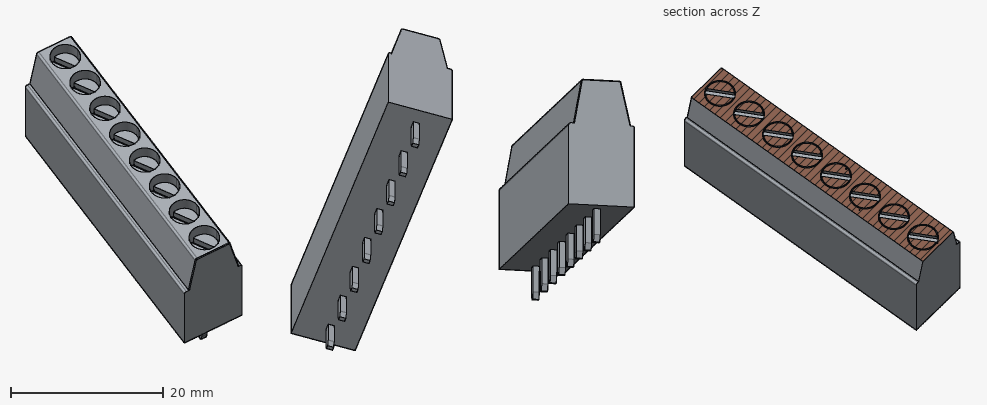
import cadquery as cq
import math

pole_count = 8
pitch = 5.0
length = pole_count * pitch
depth = 8.9
body_height = 16.9
shoulder_height = 10.9
edge_radius = 0.3

front_shoulder = 0.7
front_top_inset = 1.75
back_shoulder = 0.5
back_top_inset = 1.85

bevel = 0.1

well_diameter = 4.0
well_y = 0.15
well_flat_width = 0.45
screw_recess = 1.7

screw_diameter = 3.8
screw_head_height = 1.0
slot_width = 0.8
slot_angle = 30

pin_width = 1.0
pin_thickness = 0.85
pin_length = 4.4
tip_length = 0.9
tip_width = 0.5
pin_y = -0.1

front_y = -depth / 2
back_y = depth / 2
pole_positions = [(i - (pole_count - 1) / 2) * pitch for i in range(pole_count)]


def make_housing():
    """Stepped housing, standing on Z = 0, with its edges rounded and bevelled."""
    outline = [
        (front_y, 0),
        (back_y, 0),
        (back_y, shoulder_height),
        (back_y - back_shoulder, shoulder_height),
        (back_y - back_top_inset, body_height),
        (front_y + front_top_inset, body_height),
        (front_y + front_shoulder, shoulder_height),
        (front_y, shoulder_height),
    ]
    housing = cq.Workplane("YZ").polyline(outline).close().extrude(length / 2, both=True)
    rounded_edges = [
        (front_y, shoulder_height),
        (back_y, shoulder_height),
        (front_y + front_top_inset, body_height),
    ]
    for y, z in rounded_edges:
        nearest_edge = cq.selectors.NearestToPointSelector((0, y, z))
        housing = housing.edges(nearest_edge).fillet(edge_radius)
    end_edges = cq.selectors.BoxSelector(
        (length / 2 - bevel, front_y + front_shoulder / 2, shoulder_height + bevel),
        (length / 2 + bevel, back_y - back_shoulder / 2, body_height + bevel),
    )
    back_top_edge = cq.selectors.NearestToPointSelector((0, back_y - back_top_inset, body_height))
    return housing.edges(end_edges + back_top_edge).chamfer(bevel)


def make_well(x):
    """Cutter for one well: everything above and around its slotted screw head."""
    radius = well_diameter / 2
    flat_distance = math.sqrt(radius**2 - (well_flat_width / 2) ** 2)
    well_depth = screw_recess + screw_head_height
    well = cq.Workplane("XY").circle(radius).extrude(well_depth)
    flat = cq.Workplane("XY").box(well_diameter, radius, well_depth, centered=(True, False, False))
    well = well.cut(flat.translate((0, flat_distance, 0)))
    slot = (
        cq.Workplane("XY")
        .rect(well_diameter, slot_width)
        .extrude(screw_head_height)
        .rotate((0, 0, 0), (0, 0, 1), slot_angle)
    )
    screw_head = cq.Workplane("XY").circle(screw_diameter / 2).extrude(screw_head_height).cut(slot)
    return well.cut(screw_head).translate((x, well_y, body_height - well_depth))


def make_pin(x):
    """Flat solder pin with a tapered tip, hanging below the housing."""
    half = pin_width / 2
    half_tip = tip_width / 2
    outline = [
        (-half, 0),
        (-half, tip_length - pin_length),
        (-half_tip, -pin_length),
        (half_tip, -pin_length),
        (half, tip_length - pin_length),
        (half, 0),
    ]
    return (
        cq.Workplane("XZ", origin=(x, pin_y, 0))
        .polyline(outline)
        .close()
        .extrude(pin_thickness / 2, both=True)
    )


result = make_housing()
for pole_x in pole_positions:
    result = result.cut(make_well(pole_x)).union(make_pin(pole_x))